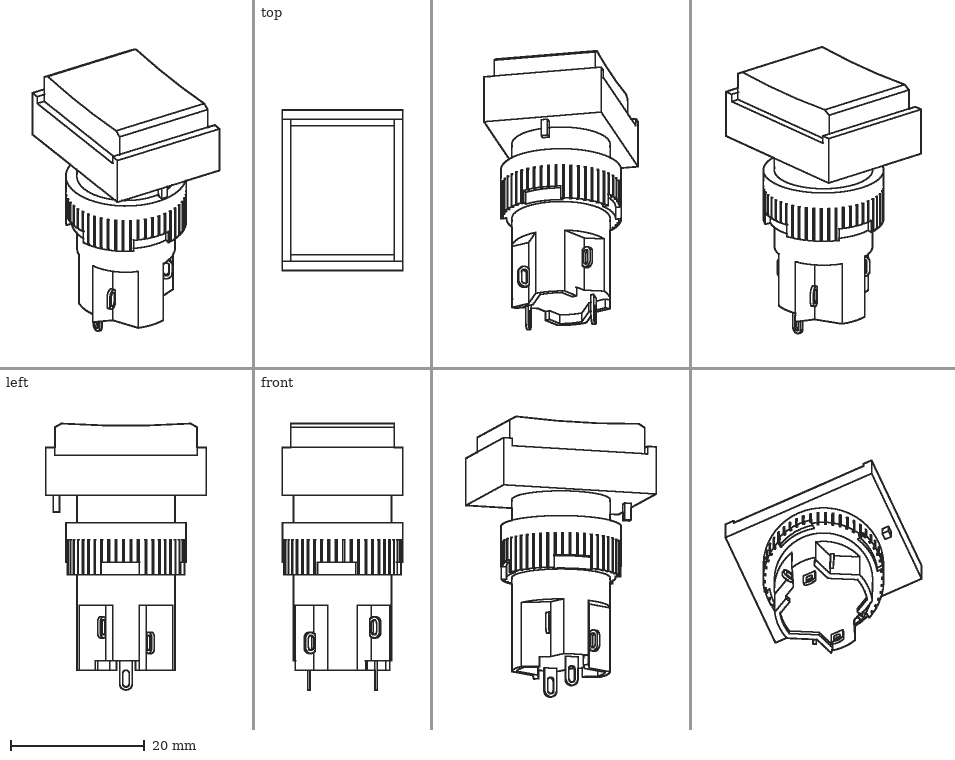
import cadquery as cq
import math


BASE_BOTTOM = 2.95
CAVITY_TOP = 4.35
BASE_TOP = 12.65
NUT_BOTTOM = 17.2
NOTCH_TOP = 19.08
GROOVE_TOP = 22.42
NUT_TOP = 25.0
PEG_BOTTOM = 26.55
BEZEL_BOTTOM = 29.08
CHANNEL_FLOOR = 35.1
BEZEL_TOP = 36.25
CAP_SHOULDER = 39.27
TOTAL_HEIGHT = 39.83

BEZEL_X = 18.0
BEZEL_Y = 24.0
CAP_X = 15.55
CAP_Y = 21.25
CAP_CHAMFER_Y = 1.0
CAP_DISH = 0.3

PEG_SIZE = 1.0
PEG_Y = 10.4

BARREL_RADIUS = 14.7 / 2
X_LOBE_HALF_WIDTH = 1.95
Y_LOBE_HALF_WIDTH = 2.25
CORNER_X = 4.25
CORNER_Y = 3.03
BASE_WALL = 0.75
WINDOW_REACH = 1.75
WINDOW_INNER_X = 6.45
WINDOW_INNER_Y = 1.4

TERMINAL_X = 5.0
TERMINAL_WIDTH = 1.9
TERMINAL_THICKNESS = 0.4
TERMINAL_RIM = 0.48
TERMINAL_HOLE_LENGTH = 2.45
LUG_WIDTH = 1.85
LUG_THICKNESS = 0.48
LUG_HEIGHT = 3.2
LUG_X = 4.8
LUG_Y = 3.6
LUG_LOW_Z = 7.05
LUG_HIGH_Z = 9.35
LUG_ANGLE = 30.0

NUT_RADIUS = 18.0 / 2
NUT_TURN = -96.0
NOTCH_COUNT = 4
NOTCH_WIDTH = 5.8
NOTCH_FLOOR_RADIUS = 8.15
GROOVE_COUNT = 50
GROOVE_WIDTH = 0.25
GROOVE_DEPTH = 0.3


def block(x_size, y_size, bottom, top):
    return cq.Workplane("XY").workplane(offset=bottom).rect(x_size, y_size).extrude(top - bottom)


def disc(radius, bottom, top):
    return cq.Workplane("XY").workplane(offset=bottom).circle(radius).extrude(top - bottom)


def prism(points, bottom, top):
    return cq.Workplane("XY").workplane(offset=bottom).polyline(points).close().extrude(top - bottom)


def lobe_edge(radius, half_width):
    """Distance from the axis at which a lobe of this half width meets the circle."""
    return math.sqrt(radius ** 2 - half_width ** 2)



def make_bezel():
    bezel = block(BEZEL_X, BEZEL_Y, BEZEL_BOTTOM, BEZEL_TOP)
    channel = block(BEZEL_X, CAP_Y, CHANNEL_FLOOR, BEZEL_TOP)
    return bezel.cut(channel)


def make_cap():
    half_y = CAP_Y / 2
    crest_y = half_y - CAP_CHAMFER_Y
    return (
        cq.Workplane("YZ").workplane(offset=-CAP_X / 2)
        .moveTo(-half_y, CHANNEL_FLOOR)
        .lineTo(half_y, CHANNEL_FLOOR)
        .lineTo(half_y, CAP_SHOULDER)
        .lineTo(crest_y, TOTAL_HEIGHT)
        .threePointArc((0, TOTAL_HEIGHT - CAP_DISH), (-crest_y, TOTAL_HEIGHT))
        .lineTo(-half_y, CAP_SHOULDER)
        .close()
        .extrude(CAP_X)
    )


def make_peg():
    return block(PEG_SIZE, PEG_SIZE, PEG_BOTTOM, BEZEL_BOTTOM).translate((0, PEG_Y, 0))



def corner_notch(x_sign, y_sign):
    """V-shaped notch between an X lobe and a Y lobe."""
    x_rim = (x_sign * lobe_edge(BARREL_RADIUS, X_LOBE_HALF_WIDTH), y_sign * X_LOBE_HALF_WIDTH)
    y_rim = (x_sign * Y_LOBE_HALF_WIDTH, y_sign * lobe_edge(BARREL_RADIUS, Y_LOBE_HALF_WIDTH))
    outside = 2 * BARREL_RADIUS
    points = [
        (x_sign * CORNER_X, y_sign * CORNER_Y),
        x_rim,
        (x_sign * outside, x_rim[1]),
        (x_sign * outside, y_sign * outside),
        (y_rim[0], y_sign * outside),
        y_rim,
    ]
    return prism(points, BASE_BOTTOM, BASE_TOP)


def make_solid_base():
    base = disc(BARREL_RADIUS, BASE_BOTTOM, BASE_TOP)
    for x_sign in (-1, 1):
        for y_sign in (-1, 1):
            base = base.cut(corner_notch(x_sign, y_sign))
    return base


def make_cavity(base):
    """Shallow recess in the underside that leaves a wall of even thickness."""
    return (
        base.faces("<Z").wires().toPending()
        .offset2D(-BASE_WALL, "intersection")
        .extrude(CAVITY_TOP - BASE_BOTTOM, combine=False)
    )


def make_window():
    """Opening in the cavity wall around the -X lobe and the corner next to it on the +Y side."""
    rim_x = lobe_edge(BARREL_RADIUS, X_LOBE_HALF_WIDTH)
    wall_x = CORNER_X - Y_LOBE_HALF_WIDTH
    wall_y = lobe_edge(BARREL_RADIUS, Y_LOBE_HALF_WIDTH) - CORNER_Y
    wall_length = math.hypot(wall_x, wall_y)
    along = (wall_x / wall_length, wall_y / wall_length)
    end = (-CORNER_X + along[0] * WINDOW_REACH, CORNER_Y + along[1] * WINDOW_REACH)
    outside = 2 * BARREL_RADIUS
    points = [
        (0, 0),
        (-WINDOW_INNER_X, -WINDOW_INNER_Y),
        (-rim_x, -X_LOBE_HALF_WIDTH),
        (-outside, -X_LOBE_HALF_WIDTH),
        (-outside, outside),
        (end[0] - along[1] * BASE_WALL, end[1] + along[0] * BASE_WALL),
        (end[0] + along[1] * BASE_WALL, end[1] - along[0] * BASE_WALL),
    ]
    return prism(points, BASE_BOTTOM, CAVITY_TOP)


def make_base():
    base = make_solid_base()
    window = make_window()
    opposite_window = window.rotate((0, 0, 0), (0, 0, 1), 180)
    return base.cut(make_cavity(base)).cut(window).cut(opposite_window)



def slotted_plate(length, width, hole_length, thickness):
    """Upright round-ended plate in the YZ plane, centred on the origin, with a slot near its lower end."""
    hole_z = (hole_length - length) / 2 + TERMINAL_RIM
    hole_width = width - 2 * TERMINAL_RIM
    plate = cq.Workplane("YZ").slot2D(length, width, 90).extrude(thickness / 2, both=True)
    hole = (
        cq.Workplane("YZ").center(0, hole_z)
        .slot2D(hole_length, hole_width, 90)
        .extrude(thickness / 2, both=True)
    )
    return plate.cut(hole)


def make_terminal(x_sign):
    """Terminal pointing down, its rounded upper end sunk in the base."""
    length = CAVITY_TOP + TERMINAL_WIDTH / 2
    plate = slotted_plate(length, TERMINAL_WIDTH, TERMINAL_HOLE_LENGTH, TERMINAL_THICKNESS)
    return plate.translate((x_sign * TERMINAL_X, 0, length / 2))


def make_lug(x_sign, y_sign):
    """Side lug in a corner notch; the two diagonal pairs sit at different heights."""
    height = LUG_HIGH_Z if x_sign * y_sign < 0 else LUG_LOW_Z
    plate = slotted_plate(LUG_HEIGHT, LUG_WIDTH, LUG_HEIGHT - 2 * TERMINAL_RIM, LUG_THICKNESS)
    turn = x_sign * y_sign * LUG_ANGLE - 90
    plate = plate.rotate((0, 0, 0), (0, 0, 1), turn)
    return plate.translate((x_sign * LUG_X, y_sign * LUG_Y, height))


def make_switch():
    switch = disc(BARREL_RADIUS, BASE_TOP, BEZEL_BOTTOM)
    for part in (make_base(), make_bezel(), make_cap(), make_peg()):
        switch = switch.union(part)
    for x_sign in (-1, 1):
        switch = switch.union(make_terminal(x_sign))
        for y_sign in (-1, 1):
            switch = switch.union(make_lug(x_sign, y_sign))
    return switch



def nut_notch():
    """Flat-sided cut in the lower rim on the +X side, down to an inner sleeve."""
    notch = block(2 * NUT_RADIUS, NOTCH_WIDTH, NUT_BOTTOM, NOTCH_TOP).translate((NUT_RADIUS, 0, 0))
    return notch.cut(disc(NOTCH_FLOOR_RADIUS, NUT_BOTTOM, NOTCH_TOP))


def nut_groove():
    """One grip groove on the +X side."""
    return block(2 * GROOVE_DEPTH, GROOVE_WIDTH, NUT_BOTTOM, GROOVE_TOP).translate((NUT_RADIUS, 0, 0))


def cut_around(body, cutter, count):
    """Cut the same shape at equal steps around the nut, starting at NUT_TURN."""
    for index in range(count):
        body = body.cut(cutter.rotate((0, 0, 0), (0, 0, 1), NUT_TURN + index * 360 / count))
    return body


def make_nut():
    nut = disc(NUT_RADIUS, NUT_BOTTOM, NUT_TOP).cut(disc(BARREL_RADIUS, NUT_BOTTOM, NUT_TOP))
    nut = cut_around(nut, nut_notch(), NOTCH_COUNT)
    return cut_around(nut, nut_groove(), GROOVE_COUNT)


switch = make_switch()
nut = make_nut()

result = cq.Compound.makeCompound([switch.solids().val(), nut.solids().val()])